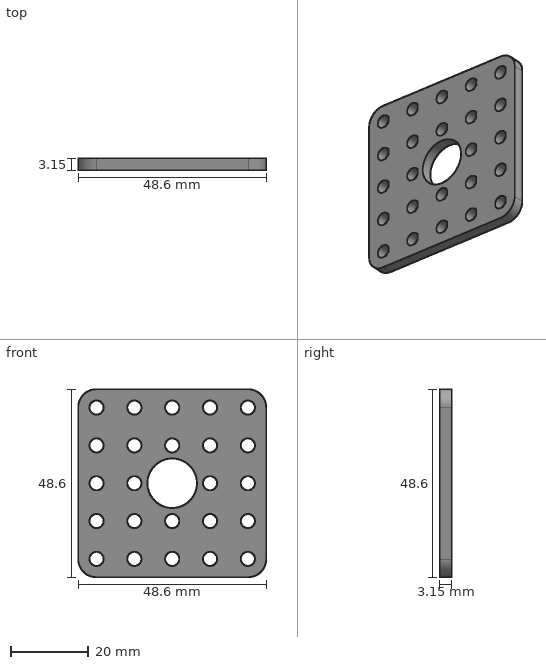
import cadquery as cq

side = 48.65
thickness = 3.15
corner_radius = 4.7

holes_per_side = 5
hole_pitch = 9.8
hole_diameter = 3.6
centre_hole_diameter = 12.75


def grid_points():
    """Hole centres on the grid, leaving out the middle one."""
    middle = holes_per_side // 2
    return [
        ((column - middle) * hole_pitch, (row - middle) * hole_pitch)
        for column in range(holes_per_side)
        for row in range(holes_per_side)
        if (column, row) != (middle, middle)
    ]


plate = (
    cq.Workplane("XZ")
    .rect(side, side)
    .extrude(thickness)
    .edges("|Y")
    .fillet(corner_radius)
)

small_holes = (
    cq.Workplane("XZ")
    .pushPoints(grid_points())
    .circle(hole_diameter / 2)
    .extrude(thickness)
)

centre_hole = cq.Workplane("XZ").circle(centre_hole_diameter / 2).extrude(thickness)

result = plate.cut(small_holes).cut(centre_hole)